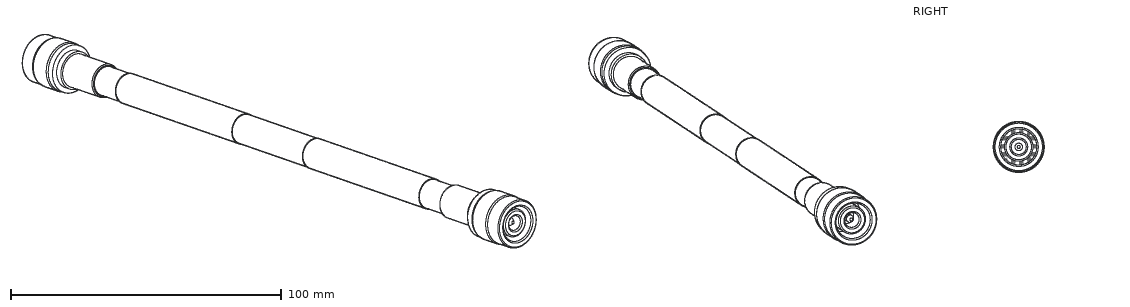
import cadquery as cq


OVERALL_LENGTH = 278.5
HALF_LENGTH = OVERALL_LENGTH / 2

CABLE_RADIUS = 5.5
CABLE_END = 114.0
LABEL_THICKNESS = 0.15
LABEL_RADIUS = CABLE_RADIUS + LABEL_THICKNESS
LABEL_END = 20.5
SLEEVE_THICKNESS = 0.3
SLEEVE_RADIUS = CABLE_RADIUS + SLEEVE_THICKNESS
SLEEVE_END = 88.5

NUT_RADIUS = 9.2
NUT_CHAMFER = 0.42
NUT_BAND_RADIUS = 9.5
NUT_BACK = 121.0
BAND_BACK = 123.5
BAND_FRONT = 132.8
BAND_BEVEL = 0.8
NUT_BORE_RADIUS = 6.7
BORE_MOUTH_RADIUS = 7.2
BORE_CHAMFER = BORE_MOUTH_RADIUS - NUT_BORE_RADIUS
BORE_FLOOR = 126.7

COLLAR_RADIUS = 7.2
COLLAR_BACK = 118.5
FERRULE_RADIUS = 6.5
FERRULE_BACK = 101.0
FERRULE_CHAMFER = 0.42
SHELL_RADIUS = 5.3
SHELL_TIP_CHAMFER = 0.5
SHELL_BORE_RADIUS = 2.8
SHELL_MOUTH_RADIUS = 3.3
SHELL_MOUTH_CHAMFER = SHELL_MOUTH_RADIUS - SHELL_BORE_RADIUS
SHELL_FRONT = 137.8
SHELL_FLOOR = 130.8
PIN_RADIUS = 1.5
PIN_TIP_RADIUS = 0.5
PIN_TIP_LENGTH = 1.5
PIN_FRONT = 136.5


def turned(profile):
    """Revolve a closed (x, radius) outline about the X axis."""
    return cq.Workplane("XZ").polyline(profile).close().revolve(360, (0, 0), (1, 0))


def tube(start, end, inner_radius, outer_radius):
    return turned([
        (start, inner_radius),
        (end, inner_radius),
        (end, outer_radius),
        (start, outer_radius),
    ])


def make_cable():
    return turned([
        (-CABLE_END, 0),
        (CABLE_END, 0),
        (CABLE_END, CABLE_RADIUS),
        (-CABLE_END, CABLE_RADIUS),
    ])


def make_label():
    return tube(-LABEL_END, LABEL_END, CABLE_RADIUS, LABEL_RADIUS)


def make_sleeve():
    return tube(LABEL_END, SLEEVE_END, CABLE_RADIUS, SLEEVE_RADIUS)


def make_nut():
    return turned([
        (NUT_BACK, SHELL_RADIUS),
        (BORE_FLOOR, SHELL_RADIUS),
        (BORE_FLOOR, NUT_BORE_RADIUS),
        (HALF_LENGTH - BORE_CHAMFER, NUT_BORE_RADIUS),
        (HALF_LENGTH, BORE_MOUTH_RADIUS),
        (HALF_LENGTH, NUT_RADIUS - NUT_CHAMFER),
        (HALF_LENGTH - NUT_CHAMFER, NUT_RADIUS),
        (BAND_FRONT, NUT_RADIUS),
        (BAND_FRONT - BAND_BEVEL, NUT_BAND_RADIUS),
        (BAND_BACK + BAND_BEVEL, NUT_BAND_RADIUS),
        (BAND_BACK, NUT_RADIUS),
        (NUT_BACK, NUT_RADIUS),
    ])


def make_connector_body():
    return turned([
        (FERRULE_BACK, CABLE_RADIUS),
        (CABLE_END, CABLE_RADIUS),
        (CABLE_END, 0),
        (PIN_FRONT, 0),
        (PIN_FRONT, PIN_TIP_RADIUS),
        (PIN_FRONT - PIN_TIP_LENGTH, PIN_RADIUS),
        (SHELL_FLOOR, PIN_RADIUS),
        (SHELL_FLOOR, SHELL_BORE_RADIUS),
        (SHELL_FRONT - SHELL_MOUTH_CHAMFER, SHELL_BORE_RADIUS),
        (SHELL_FRONT, SHELL_MOUTH_RADIUS),
        (SHELL_FRONT, SHELL_RADIUS - SHELL_TIP_CHAMFER),
        (SHELL_FRONT - SHELL_TIP_CHAMFER, SHELL_RADIUS),
        (NUT_BACK, SHELL_RADIUS),
        (NUT_BACK, COLLAR_RADIUS),
        (COLLAR_BACK, COLLAR_RADIUS),
        (COLLAR_BACK, FERRULE_RADIUS),
        (FERRULE_BACK + FERRULE_CHAMFER, FERRULE_RADIUS),
        (FERRULE_BACK, FERRULE_RADIUS - FERRULE_CHAMFER),
    ])


cable = make_cable()
label = make_label()

end_bodies = []
for make_end_body in (make_sleeve, make_nut, make_connector_body):
    right_end = make_end_body()
    end_bodies.append(right_end.val())
    end_bodies.append(right_end.mirror("YZ").val())

result = cq.Compound.makeCompound([cable.val(), label.val(), *end_bodies])